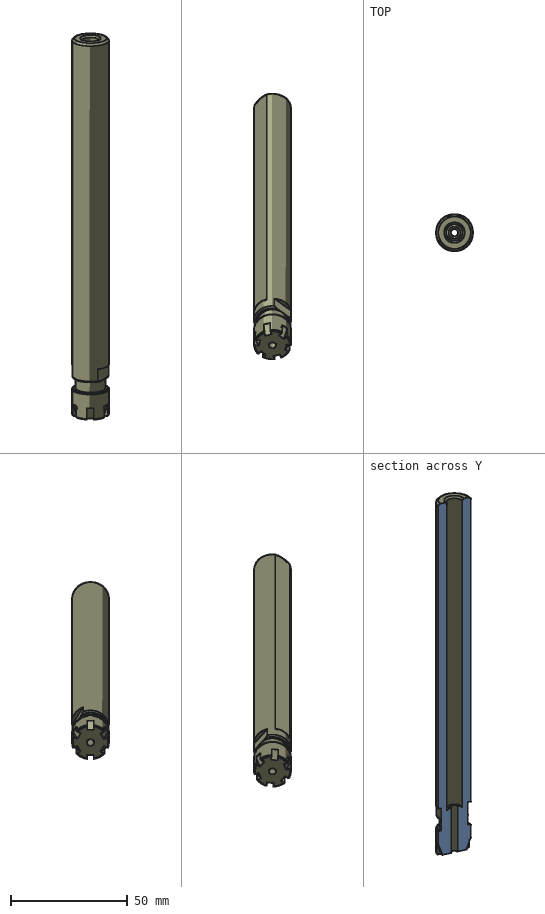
import cadquery as cq

total_length = 170.0
outer_diameter = 16.0
outer_radius = outer_diameter / 2

nut_height = 12.0
nut_top_chamfer = 0.5
nut_bottom_chamfer = 0.5
slot_count = 6
slot_width = 2.9
slot_height = 5.5
slot_top_depth = 0.2
slot_bottom_depth = 2.2

neck_diameter = 13.1

shank_bottom = 16.8
shank_top_chamfer = 1.0
shank_bottom_chamfer = 0.7
flats_bottom = 22.8
wrench_across_flats = 13.0
long_flat_offset = 7.0

mouth_diameter = 8.8
bore_diameter = 7.1
seat_diameter = 5.1
seat_height = 22.1
through_diameter = 3.0


def cylinder(diameter, bottom, top):
    """Upright cylinder on the part axis between two heights."""
    return cq.Workplane("XY").workplane(offset=bottom).circle(diameter / 2).extrude(top - bottom)


def make_nut():
    """Round nut with spanner slots whose floors slope inward towards the lower end."""
    nut = cylinder(outer_diameter, 0, nut_height)
    nut = nut.faces(">Z").chamfer(nut_top_chamfer)
    nut = nut.faces("<Z").chamfer(nut_bottom_chamfer)
    slot = (
        cq.Workplane("XZ")
        .moveTo(outer_radius - slot_bottom_depth, 0)
        .lineTo(outer_diameter, 0)
        .lineTo(outer_diameter, slot_height)
        .lineTo(outer_radius - slot_top_depth, slot_height)
        .close()
        .extrude(slot_width / 2, both=True)
    )
    for index in range(slot_count):
        nut = nut.cut(slot.rotate((0, 0, 0), (0, 0, 1), index * 360 / slot_count))
    return nut


def make_shank():
    """Long shank with two wrench flats at its lower end and one long flat above them."""
    shank = cylinder(outer_diameter, shank_bottom, total_length)
    shank = shank.faces(">Z").chamfer(shank_top_chamfer)
    shank = shank.faces("<Z").chamfer(shank_bottom_chamfer)

    wrench_zone = cylinder(2 * outer_diameter, shank_bottom, flats_bottom)
    wrench_bar = cq.Workplane("XY").box(
        wrench_across_flats, 2 * outer_diameter, 2 * total_length
    )
    shank = shank.cut(wrench_zone.cut(wrench_bar))

    long_flat = (
        cq.Workplane("XY")
        .box(outer_diameter, outer_radius, total_length, centered=(True, False, False))
        .translate((0, long_flat_offset, flats_bottom))
    )
    return shank.cut(long_flat)


def make_bore():
    """Bore with a flared mouth, a raised bevelled seat and a narrow hole through the seat."""
    through_radius = through_diameter / 2
    seat_radius = seat_diameter / 2
    bore_radius = bore_diameter / 2
    mouth_radius = mouth_diameter / 2
    seat_bevel = bore_radius - seat_radius
    mouth_chamfer = mouth_radius - bore_radius
    return (
        cq.Workplane("XZ")
        .lineTo(through_radius, 0)
        .lineTo(through_radius, seat_height)
        .lineTo(seat_radius, seat_height)
        .lineTo(bore_radius, seat_height - seat_bevel)
        .lineTo(bore_radius, total_length - mouth_chamfer)
        .lineTo(mouth_radius, total_length)
        .lineTo(0, total_length)
        .close()
        .revolve(360, (0, 0, 0), (0, 1, 0))
    )


neck = cylinder(neck_diameter, nut_height, shank_bottom)
result = make_nut().union(neck).union(make_shank()).cut(make_bore())